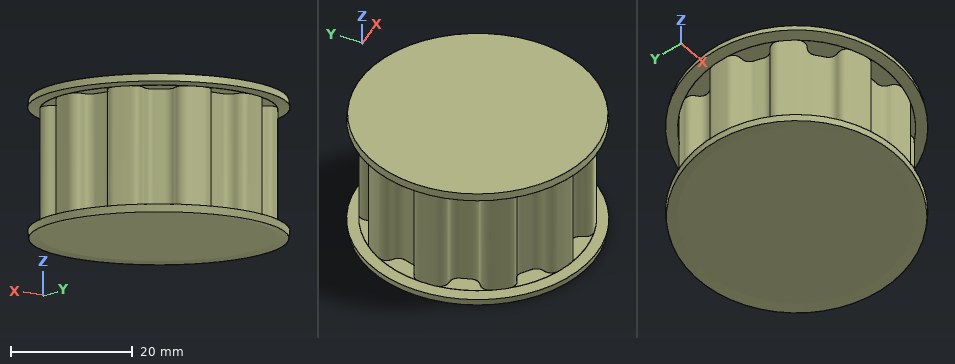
import cadquery as cq
import math


tooth_count = 10
tip_radius = 19.55
tooth_length = 20.0
space_depth = 3.05
space_floor_width = 4.2
flank_angle = 20.0
root_fillet = 1.6
tip_fillet = 1.6

overall_height = 23.2
rim_radius = 21.55
dish_angle = 8.0
dish_start_radius = 19.7
hub_step = 0.05

pitch_angle = 360.0 / tooth_count
root_radius = tip_radius - space_depth
half_tooth_length = tooth_length / 2
radius_tolerance = 0.0005


def make_drum():
    """Plain drum, turned so that its seam lies inside a tooth space."""
    drum = cq.Workplane("XY").circle(tip_radius).extrude(half_tooth_length, both=True)
    return drum.rotate((0, 0, 0), (0, 0, 1), pitch_angle / 2)


def make_space_cutter():
    """Trapezoidal tooth space on -Y, running past the tooth tips."""
    overrun = space_depth
    outer_radius = tip_radius + overrun
    half_floor = space_floor_width / 2
    flank_spread = (outer_radius - root_radius) * math.tan(math.radians(flank_angle))
    half_mouth = half_floor + flank_spread
    outline = [
        (-half_floor, -root_radius),
        (half_floor, -root_radius),
        (half_mouth, -outer_radius),
        (-half_mouth, -outer_radius),
    ]
    cutter = cq.Workplane("XY").polyline(outline).close().extrude(half_tooth_length, both=True)
    return cutter.edges("|Z and >Y").fillet(root_fillet)


def is_tip_corner(edge):
    """True for an edge lying on the tooth tip cylinder."""
    center = edge.Center()
    return math.isclose(math.hypot(center.x, center.y), tip_radius, abs_tol=radius_tolerance)


def make_toothed_drum():
    """Drum with every tooth space cut and the tooth tips rounded."""
    drum = make_drum()
    cutter = make_space_cutter()
    for index in range(tooth_count):
        drum = drum.cut(cutter.rotate((0, 0, 0), (0, 0, 1), index * pitch_angle))
    return drum.edges("|Z").filter(is_tip_corner).fillet(tip_fillet)


def make_top_flange():
    """Hub disc ringed by a dished sheet; the outer rim is square to the dish."""
    slope = math.tan(math.radians(dish_angle))
    dish_start_z = half_tooth_length + hub_step
    rim_low_z = dish_start_z + (rim_radius - dish_start_radius) * slope
    rim_high_z = overall_height / 2
    rim_height = rim_high_z - rim_low_z
    rim_lean = rim_height * slope
    hub_top_z = dish_start_z + rim_height
    profile = [
        (0, half_tooth_length),
        (tip_radius, half_tooth_length),
        (tip_radius, dish_start_z),
        (dish_start_radius, dish_start_z),
        (rim_radius, rim_low_z),
        (rim_radius - rim_lean, rim_high_z),
        (dish_start_radius - rim_lean, hub_top_z),
        (0, hub_top_z),
    ]
    return cq.Workplane("XZ").polyline(profile).close().revolve(360, (0, 0, 0), (0, 1, 0))


top_flange = make_top_flange()
bottom_flange = top_flange.mirror("XY")
result = make_toothed_drum().union(top_flange).union(bottom_flange)